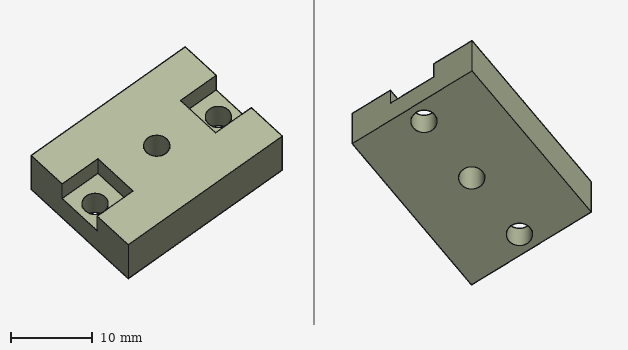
import cadquery as cq

width = 18
length = 25
height = 7

pocket_width = 6.5
pocket_length = 5.8
pocket_depth = 3

hole_diameter = 3.2
hole_spacing = 10


def end_pocket(side):
    """Rectangular pocket cutter at the -Y (side = -1) or +Y (side = 1) end."""
    center_y = side * (length - pocket_length) / 2
    return (
        cq.Workplane("XY", origin=(0, center_y, height - pocket_depth))
        .rect(pocket_width, pocket_length)
        .extrude(pocket_depth)
    )


result = cq.Workplane("XY").rect(width, length).extrude(height)

for side in (-1, 1):
    result = result.cut(end_pocket(side))

holes = (
    cq.Workplane("XY")
    .pushPoints([(0, step * hole_spacing) for step in (-1, 0, 1)])
    .circle(hole_diameter / 2)
    .extrude(height)
)
result = result.cut(holes)